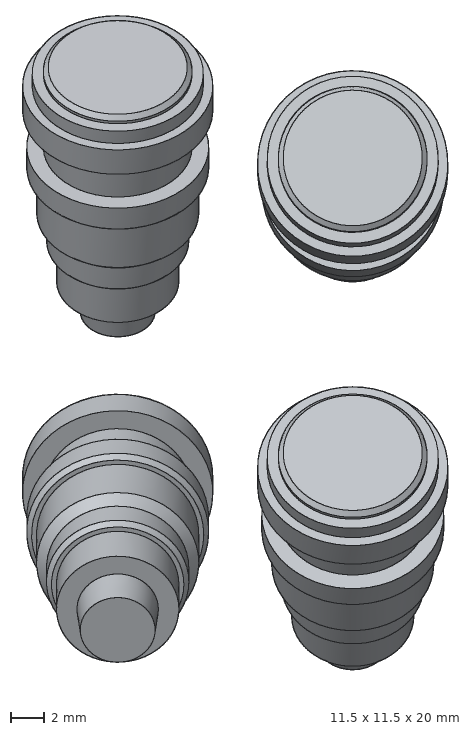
import cadquery as cq

total_height = 20

cap_diameter = 9
step_diameter = 10.35
flange_diameter = 11.5
neck_diameter = cap_diameter
collar_diameter = 11
body_diameter = 9.8
ring_diameter = 8.6
stem_diameter = 7.4
tip_base_diameter = 4.92
tip_end_diameter = 4.52

tip_height = 2.5
stem_height = 3
ring_height = 2
body_height = 4
collar_height = 2
neck_height = 3
flange_height = 2
step_height = 1

cap_bevel = 0.3
collar_bevel = 0.3
ring_bevel = 0.3
body_bevel = (body_diameter - ring_diameter) / 2


def section(diameter, height, bottom, bottom_bevel=0, top_bevel=0):
    """Cylinder standing on the given level, with optional bevelled rims."""
    solid = cq.Workplane("XY").workplane(offset=bottom).circle(diameter / 2).extrude(height)
    if bottom_bevel:
        solid = solid.faces("<Z").edges().chamfer(bottom_bevel)
    if top_bevel:
        solid = solid.faces(">Z").edges().chamfer(top_bevel)
    return solid


result = (
    cq.Workplane("XY")
    .circle(tip_end_diameter / 2)
    .workplane(offset=tip_height)
    .circle(tip_base_diameter / 2)
    .loft()
)

level = tip_height
for diameter, height, bevel in (
    (stem_diameter, stem_height, 0),
    (ring_diameter, ring_height, ring_bevel),
    (body_diameter, body_height, body_bevel),
    (collar_diameter, collar_height, collar_bevel),
    (neck_diameter, neck_height, 0),
    (flange_diameter, flange_height, 0),
    (step_diameter, step_height, 0),
):
    result = result.union(section(diameter, height, level, bottom_bevel=bevel))
    level += height

result = result.union(section(cap_diameter, total_height - level, level, top_bevel=cap_bevel))